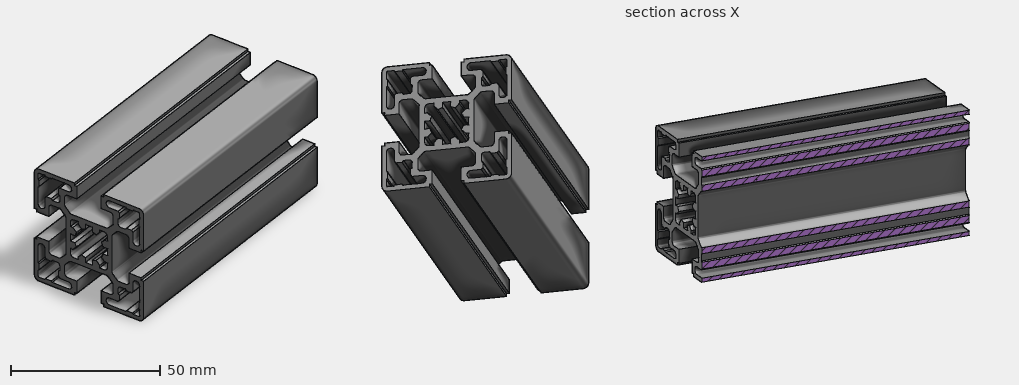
import cadquery as cq
import math

LENGTH = 100.0
SIDE = 45.0
HALF_SIDE = SIDE / 2
CORNER_RADIUS = 2.0

SLOT_WIDTH = 10.0
SLOT_STEP_WIDTH = 12.0
SLOT_STEP_DEPTH = 1.0
LIP_DEPTH = 6.0
CHAMBER_WIDTH = 20.0
CHAMBER_RADIUS = 1.4
CHAMBER_CHAMFER = 2.4
CHAMFER_END_RADIUS = 1.0
CORE_WIDTH = 19.0

WALL = 1.6
ARM_WIDTH = 2.8
ARM_REACH = 15.4
PAD_CENTER = 5.8
PAD_LENGTH = 2.4
OUTER_PAD_HEIGHT = 0.4
INNER_PAD_HEIGHT = 0.6
HOLLOW_DEPTH = 10.5
HOLLOW_INNER_RADIUS = 1.1
HOLLOW_OUTER_RADIUS = 0.6
ARM_CORNER_CHAMFER = 0.6

BORE_WIDTH = 15.2
BORE_CORNER_RADIUS = 1.5
TOOTH_INNER_X = 1.4
TOOTH_TIP_X = 3.0
TOOTH_OUTER_X = 4.4
TOOTH_SHOULDER_Z = 6.6
TOOTH_CIRCLE_RADIUS = 5.9

QUARTER_TURNS = (0, 90, 180, 270)


def section():
    """Workplane of the cross-section: local x is X, local y is Z."""
    return cq.Workplane("XZ", origin=(0, LENGTH / 2, 0))


def block(width, bottom, top):
    """Full-length bar centred on X, between two Z levels."""
    return section().center(0, (bottom + top) / 2).rect(width, top - bottom).extrude(LENGTH)


def around(body, angle):
    return body.rotate((0, 0, 0), (0, 1, 0), angle)


def t_slot():
    """Space of the T-slot that opens towards +Z."""
    chamber = block(CHAMBER_WIDTH, CORE_WIDTH / 2, HALF_SIDE - LIP_DEPTH)
    chamber = chamber.edges("|Y and >Z").fillet(CHAMBER_RADIUS)
    chamber = chamber.edges("|Y and <Z").chamfer(CHAMBER_CHAMFER)
    chamfer_top = CORE_WIDTH / 2 + CHAMBER_CHAMFER
    lower_part = cq.selectors.BoxSelector(
        (-SIDE, -LENGTH, 0),
        (SIDE, LENGTH, chamfer_top + CHAMBER_CHAMFER / 2),
    )
    chamber = chamber.edges("|Y").edges(lower_part).fillet(CHAMFER_END_RADIUS)
    neck = block(SLOT_WIDTH, CORE_WIDTH / 2, HALF_SIDE)
    step = block(SLOT_STEP_WIDTH, HALF_SIDE - SLOT_STEP_DEPTH, HALF_SIDE)
    return chamber.union(neck).union(step)


def corner_hollow():
    """L-shaped hollow of the (-X, -Z) corner, symmetric about the diagonal."""
    arm_inner = WALL + ARM_WIDTH
    arm_radius = ARM_WIDTH / 2
    arm_center = ARM_REACH - arm_radius
    pad_start = PAD_CENTER - PAD_LENGTH / 2
    pad_end = PAD_CENTER + PAD_LENGTH / 2
    inner_pad = HOLLOW_DEPTH - INNER_PAD_HEIGHT

    outer_run = [
        (WALL + HOLLOW_OUTER_RADIUS, WALL),
        (pad_start - OUTER_PAD_HEIGHT, WALL),
        (pad_start, WALL + OUTER_PAD_HEIGHT),
        (pad_end, WALL + OUTER_PAD_HEIGHT),
        (pad_end + OUTER_PAD_HEIGHT, WALL),
        (arm_center, WALL),
    ]
    arm_tip = (ARM_REACH, WALL + arm_radius)
    inner_run = [
        (arm_center, arm_inner),
        (inner_pad + ARM_CORNER_CHAMFER, arm_inner),
        (inner_pad, arm_inner + ARM_CORNER_CHAMFER),
        (inner_pad, pad_end),
        (HOLLOW_DEPTH, pad_end + INNER_PAD_HEIGHT),
        (HOLLOW_DEPTH, HOLLOW_DEPTH - HOLLOW_INNER_RADIUS),
    ]

    def mirrored(points):
        return [(b, a) for a, b in reversed(points)]

    arc_inset = 1 - math.sqrt(0.5)
    outer_mid = WALL + HOLLOW_OUTER_RADIUS * arc_inset
    inner_mid = HOLLOW_DEPTH - HOLLOW_INNER_RADIUS * arc_inset

    inner_return = mirrored(inner_run)
    outer_return = mirrored(outer_run)
    outline = (
        section()
        .center(-HALF_SIDE, -HALF_SIDE)
        .polyline(outer_run)
        .threePointArc(arm_tip, inner_run[0])
        .polyline(inner_run[1:], includeCurrent=True)
        .threePointArc((inner_mid, inner_mid), inner_return[0])
        .polyline(inner_return[1:], includeCurrent=True)
        .threePointArc(arm_tip[::-1], outer_return[0])
        .polyline(outer_return[1:], includeCurrent=True)
        .threePointArc((outer_mid, outer_mid), outer_run[0])
    )
    return outline.close().extrude(LENGTH)


def on_tooth_circle(x):
    """Point at the given X on the circle that the tooth ends follow."""
    return (x, math.sqrt(TOOTH_CIRCLE_RADIUS**2 - x**2))


def tooth():
    """Tooth on the upper bore wall, on the +X side."""
    root_z = BORE_WIDTH / 2
    middle_x = (TOOTH_INNER_X + TOOTH_TIP_X) / 2
    outline = (
        section()
        .moveTo(TOOTH_INNER_X, root_z)
        .lineTo(*on_tooth_circle(TOOTH_INNER_X))
        .threePointArc(on_tooth_circle(middle_x), on_tooth_circle(TOOTH_TIP_X))
        .lineTo(TOOTH_OUTER_X, TOOTH_SHOULDER_Z)
        .lineTo(TOOTH_OUTER_X, root_z)
    )
    return outline.close().extrude(LENGTH)


def toothed_bore():
    """Square central hole, less the teeth that stand on its walls."""
    bore = block(BORE_WIDTH, -BORE_WIDTH / 2, BORE_WIDTH / 2)
    bore = bore.edges("|Y").fillet(BORE_CORNER_RADIUS)
    tooth_pair = tooth().union(tooth().mirror("YZ"))
    for angle in QUARTER_TURNS:
        bore = bore.cut(around(tooth_pair, angle))
    return bore


profile = block(SIDE, -HALF_SIDE, HALF_SIDE).edges("|Y").fillet(CORNER_RADIUS)
for turn in QUARTER_TURNS:
    profile = profile.cut(around(t_slot(), turn))
    profile = profile.cut(around(corner_hollow(), turn))
result = profile.cut(toothed_bore())